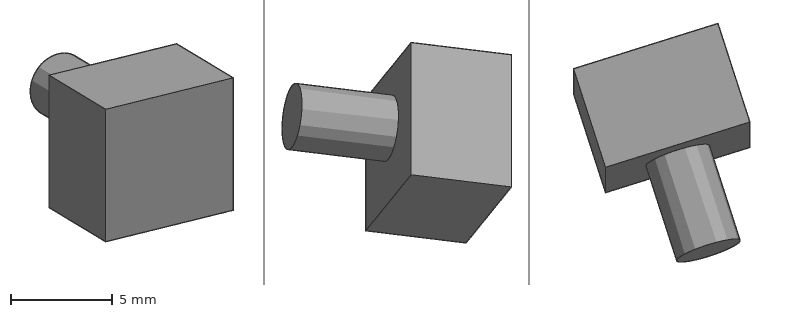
import cadquery as cq

total_length = 10.2
block_width = 7.5
block_height = 7.1

shaft_diameter = 3.3
shaft_length = 5.0
shaft_axis_height = 4.0

block_length = total_length - shaft_length


def make_block():
    """Plain block with its shaft-side face at X = 0 and its underside at Z = 0."""
    return cq.Workplane("XY").box(
        block_length, block_width, block_height, centered=(False, True, False)
    )


def make_shaft():
    """Round shaft that butts against the block and extends toward -X."""
    return (
        cq.Workplane("YZ")
        .center(0, shaft_axis_height)
        .circle(shaft_diameter / 2)
        .extrude(-shaft_length)
    )


block = make_block()
shaft = make_shaft()

result = cq.Compound.makeCompound([block.val(), shaft.val()])